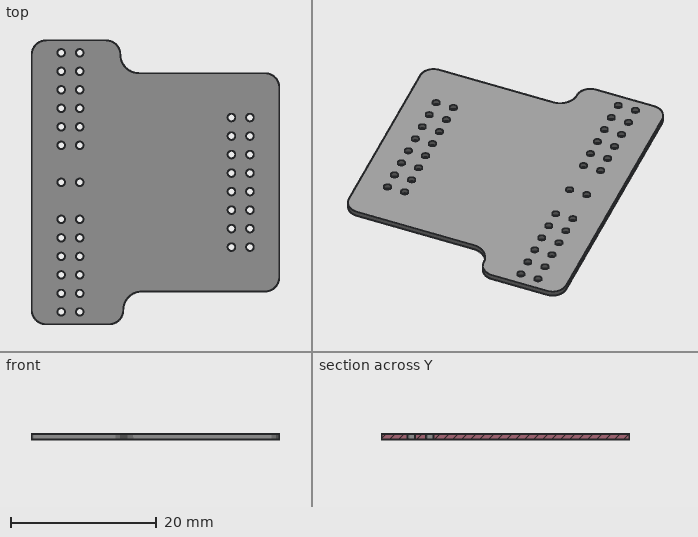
import cadquery as cq

board_length = 34.0
head_width = 39.0
body_width = 30.0
thickness = 0.8
corner_radius = 2.0
neck_radius = (head_width - body_width) / 2 - corner_radius

head_length_rear = 12.2
head_length_front = 12.6

pitch = 2.54
head_hole_diameter = 1.0
body_hole_diameter = 1.02
head_header_offset = 11.67
body_header_offset = 11.69
head_row_steps = (-7, -6, -5, -4, -3, -2, 0, 2, 3, 4, 5, 6, 7)
body_row_count = 8

x_left = -board_length / 2
x_right = board_length / 2
y_head = head_width / 2
y_body = body_width / 2


def board_blank():
    """T-shaped plate with rounded corners, centred on the origin in X, Y and Z."""
    x_rear = x_left + head_length_rear
    x_front = x_left + head_length_front
    r = corner_radius
    outline = (
        cq.Workplane("XY")
        .workplane(offset=-thickness / 2)
        .moveTo(x_left + r, -y_head)
        .lineTo(x_front - r, -y_head)
        .radiusArc((x_front, -y_head + r), -r)
        .radiusArc((x_front + neck_radius, -y_body), neck_radius)
        .lineTo(x_right - r, -y_body)
        .radiusArc((x_right, -y_body + r), -r)
        .lineTo(x_right, y_body - r)
        .radiusArc((x_right - r, y_body), -r)
        .lineTo(x_rear + neck_radius, y_body)
        .radiusArc((x_rear, y_head - r), neck_radius)
        .radiusArc((x_rear - r, y_head), -r)
        .lineTo(x_left + r, y_head)
        .radiusArc((x_left, y_head - r), -r)
        .lineTo(x_left, -y_head + r)
        .radiusArc((x_left + r, -y_head), -r)
        .close()
    )
    return outline.extrude(thickness)


def drill_double_row(board, x_center, y_positions, diameter):
    """Drill two columns of through holes, one pitch apart, about x_center."""
    columns = (x_center - pitch / 2, x_center + pitch / 2)
    points = [(x, y) for x in columns for y in y_positions]
    return board.faces(">Z").workplane(origin=(0, 0, 0)).pushPoints(points).hole(diameter)


head_rows = [step * pitch for step in head_row_steps]
body_rows = [(i - (body_row_count - 1) / 2) * pitch for i in range(body_row_count)]

result = board_blank()
result = drill_double_row(result, -head_header_offset, head_rows, head_hole_diameter)
result = drill_double_row(result, body_header_offset, body_rows, body_hole_diameter)